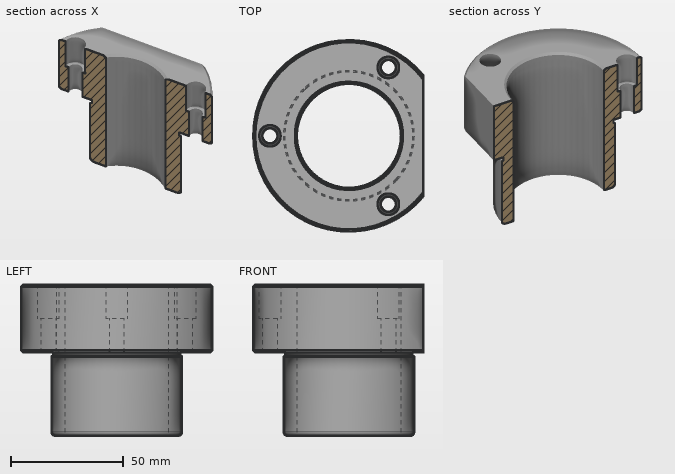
import cadquery as cq

total_height = 67.0
flange_height = 30.0
flange_bottom = total_height - flange_height

flange_diameter = 84.9
flat_distance = 33.0
edge_chamfer = 1.0

spigot_diameter = 58.0
spigot_end_fillet = 2.0
spigot_top_chamfer = 0.5
groove_diameter = 56.5
groove_width = 1.5
spigot_height = flange_bottom - groove_width

bore_diameter = 46.0

hole_count = 3
hole_circle_radius = 35.0
hole_diameter = 6.6
counterbore_diameter = 9.6
counterbore_depth = flange_height / 2


def make_flange():
    """Disc with chamfered rims, then cut by one plain flat."""
    disc = (
        cq.Workplane("XY", origin=(0, 0, flange_bottom))
        .circle(flange_diameter / 2)
        .extrude(flange_height)
        .edges()
        .chamfer(edge_chamfer)
    )
    beyond_flat = cq.Workplane("XY").box(
        flange_diameter, 2 * flange_diameter, 2 * total_height, centered=(False, True, True)
    )
    return disc.cut(beyond_flat.translate((flat_distance, 0, 0)))


def make_spigot():
    """Cylinder with a rounded free end and a narrower neck above it."""
    cylinder = (
        cq.Workplane("XY")
        .circle(spigot_diameter / 2)
        .extrude(spigot_height)
        .faces("<Z")
        .edges()
        .fillet(spigot_end_fillet)
        .faces(">Z")
        .edges()
        .chamfer(spigot_top_chamfer)
    )
    neck = (
        cq.Workplane("XY", origin=(0, 0, spigot_height))
        .circle(groove_diameter / 2)
        .extrude(groove_width)
    )
    return cylinder.union(neck)


def cut_bore(body):
    """Through bore with a chamfered mouth in the flange face."""
    bored = body.cut(cq.Workplane("XY").circle(bore_diameter / 2).extrude(total_height))
    smallest_circle = cq.selectors.RadiusNthSelector(0)
    return bored.faces(">Z").edges("%CIRCLE").edges(smallest_circle).chamfer(edge_chamfer)


def cut_screw_holes(body):
    """Evenly spaced counterbored holes, the first on the -X side."""
    return (
        body.faces(">Z")
        .workplane(origin=(0, 0, total_height))
        .polarArray(hole_circle_radius, 180, 360, hole_count)
        .cboreHole(hole_diameter, counterbore_diameter, counterbore_depth)
    )


result = cut_screw_holes(cut_bore(make_flange().union(make_spigot())))